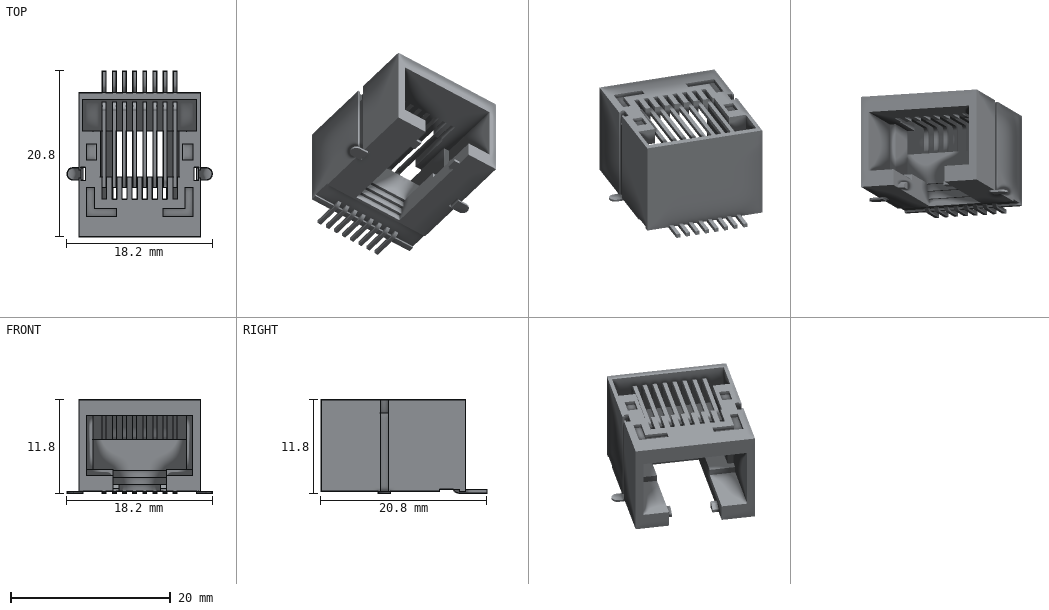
import cadquery as cq


body_width = 15.25
body_depth = 18.08
body_height = 11.5

mouth_width = 13.26
raised_floor_start_y = 7.52
mouth_floor_z = 2.0
ceiling_z = 9.5
throat_width = 11.7
throat_start_y = 8.5
throat_end_y = 13.26
raised_floor_z = 2.77

latch_slot_width = 6.74
undercut_tiers = [(2.62, 0.4), (1.77, 0.8), (0.85, 1.2)]

catch_front_y = 1.95
catch_length = 1.3
catch_flat_length = 0.5
catch_reach = 0.78
catch_height = 0.85
catch_nose_height = 0.37

pocket_width = 14.26
pocket_back_y = 17.23
pocket_floor_z = 6.5

roof_opening_width = 9.86
comb_front_y = 4.75
comb_back_y = raised_floor_start_y
comb_slot_width = 0.6

recess_depth = 0.5
recess_outer_x = 6.67
window_width = 1.28
window_front_y = 9.65
window_length = 1.98
corner_mark_front_y = 2.55
corner_mark_length = 3.62
corner_mark_span = 3.77
corner_mark_stroke = 1.0

relief_front_y = 14.82
relief_back_y = 17.33
relief_height = 0.25

foot_bottom_z = -0.25

contact_count = 8
contact_pitch = 1.27
contact_positions = [(i - (contact_count - 1) / 2) * contact_pitch for i in range(contact_count)]
contact_width = 0.5
contact_thickness = 0.5
contact_top_z = 10.85
contact_tip_y = 6.17
contact_leg_back_y = 16.88
contact_foot_end_y = 20.78
bend_radius = 1.0

tab_y = 7.9
tab_tip_x = 9.095
tab_width = 1.56
tab_inner_x = 7.09
tab_outer_x = 7.37
tab_top_z = 9.8
channel_inner_x = 6.81
channel_width = 1.64
channel_mouth_width = 1.0


def box(x_min, x_max, y_min, y_max, z_min, z_max):
    """Axis-aligned block given by its limits."""
    size = (x_max - x_min, y_max - y_min, z_max - z_min)
    return cq.Workplane("XY").box(*size, centered=False).translate((x_min, y_min, z_min))


def centered_box(width, y_min, y_max, z_min, z_max, x_mid=0):
    """Axis-aligned block centred on x_mid."""
    return box(x_mid - width / 2, x_mid + width / 2, y_min, y_max, z_min, z_max)


def both_sides(right_half):
    """The +X shape together with its mirror image on the -X side."""
    return right_half.union(right_half.mirror("YZ"))



def cut_plug_cavity(body):
    body = body.cut(centered_box(mouth_width, 0, raised_floor_start_y, mouth_floor_z, ceiling_z))
    body = body.cut(
        centered_box(mouth_width, raised_floor_start_y, throat_start_y, raised_floor_z, ceiling_z)
    )
    body = body.cut(centered_box(throat_width, throat_start_y, throat_end_y, raised_floor_z, ceiling_z))
    body = body.cut(centered_box(latch_slot_width, 0, throat_end_y, 0, ceiling_z))
    for tier_top, tier_depth in undercut_tiers:
        body = body.cut(centered_box(latch_slot_width, throat_end_y, throat_end_y + tier_depth, 0, tier_top))
    return body


def cut_roof_openings(body):
    body = body.cut(centered_box(pocket_width, throat_end_y, pocket_back_y, pocket_floor_z, body_height))
    body = body.cut(centered_box(roof_opening_width, comb_back_y, throat_end_y, ceiling_z, body_height))
    for x in contact_positions:
        body = body.cut(centered_box(comb_slot_width, comb_front_y, comb_back_y, ceiling_z, body_height, x))
    return body


def cut_roof_recesses(body):
    floor_z = body_height - recess_depth
    window = box(
        recess_outer_x - window_width, recess_outer_x,
        window_front_y, window_front_y + window_length,
        floor_z, body_height,
    )
    long_arm = box(
        recess_outer_x - corner_mark_stroke, recess_outer_x,
        corner_mark_front_y, corner_mark_front_y + corner_mark_length,
        floor_z, body_height,
    )
    cross_arm = box(
        recess_outer_x - corner_mark_span, recess_outer_x,
        corner_mark_front_y, corner_mark_front_y + corner_mark_stroke,
        floor_z, body_height,
    )
    return body.cut(both_sides(window)).cut(both_sides(long_arm.union(cross_arm)))


def cut_tab_channels(body):
    half_channel = channel_width / 2
    half_mouth = channel_mouth_width / 2
    channel = box(channel_inner_x, tab_outer_x, tab_y - half_channel, tab_y + half_channel, 0, body_height)
    mouth = box(tab_outer_x, body_width / 2, tab_y - half_mouth, tab_y + half_mouth, 0, body_height)
    return body.cut(both_sides(channel.union(mouth)))


def latch_catches():
    catch_back_y = catch_front_y + catch_length
    wall_x = latch_slot_width / 2
    catch = (
        cq.Workplane("YZ", origin=(wall_x - catch_reach, 0, 0))
        .moveTo(catch_front_y, 0)
        .lineTo(catch_back_y, 0)
        .lineTo(catch_back_y, catch_height)
        .lineTo(catch_back_y - catch_flat_length, catch_height)
        .lineTo(catch_front_y, catch_nose_height)
        .close()
        .extrude(catch_reach)
    )
    return both_sides(catch)


def contact(x):
    """Bar over the throat, bent down into a leg and back out into a solder foot."""
    leg_front_y = contact_leg_back_y - contact_thickness
    foot_top_z = foot_bottom_z + contact_thickness
    inner_radius = bend_radius - contact_thickness
    top_bend_y = contact_leg_back_y - bend_radius
    top_bend_z = contact_top_z - bend_radius
    foot_bend_y = leg_front_y + bend_radius
    foot_bend_z = foot_bottom_z + bend_radius
    return (
        cq.Workplane("YZ", origin=(x - contact_width / 2, 0, 0))
        .moveTo(contact_tip_y, contact_top_z)
        .lineTo(top_bend_y, contact_top_z)
        .radiusArc((contact_leg_back_y, top_bend_z), bend_radius)
        .lineTo(contact_leg_back_y, foot_bend_z)
        .radiusArc((foot_bend_y, foot_top_z), -inner_radius)
        .lineTo(contact_foot_end_y, foot_top_z)
        .lineTo(contact_foot_end_y, foot_bottom_z)
        .lineTo(foot_bend_y, foot_bottom_z)
        .radiusArc((leg_front_y, foot_bend_z), bend_radius)
        .lineTo(leg_front_y, top_bend_z)
        .radiusArc((top_bend_y, top_bend_z + inner_radius), -inner_radius)
        .lineTo(contact_tip_y, contact_top_z - contact_thickness)
        .close()
        .extrude(contact_width)
    )


def solder_tabs():
    """Upright plates in the side channels, each with a round-ended foot."""
    half_tab = tab_width / 2
    round_x = tab_tip_x - half_tab
    plate = box(tab_inner_x, tab_outer_x, tab_y - half_tab, tab_y + half_tab, foot_bottom_z, tab_top_z)
    foot = box(tab_inner_x, round_x, tab_y - half_tab, tab_y + half_tab, foot_bottom_z, 0)
    foot_tip = (
        cq.Workplane("XY", origin=(round_x, tab_y, foot_bottom_z))
        .circle(half_tab)
        .extrude(-foot_bottom_z)
    )
    return both_sides(plate.union(foot).union(foot_tip))


result = centered_box(body_width, 0, body_depth, 0, body_height)
result = cut_plug_cavity(result)
result = cut_roof_openings(result)
result = cut_roof_recesses(result)
result = cut_tab_channels(result)
result = result.cut(centered_box(body_width, relief_front_y, relief_back_y, 0, relief_height))
result = result.union(latch_catches())
for contact_x in contact_positions:
    result = result.union(contact(contact_x))
result = result.union(solder_tabs())